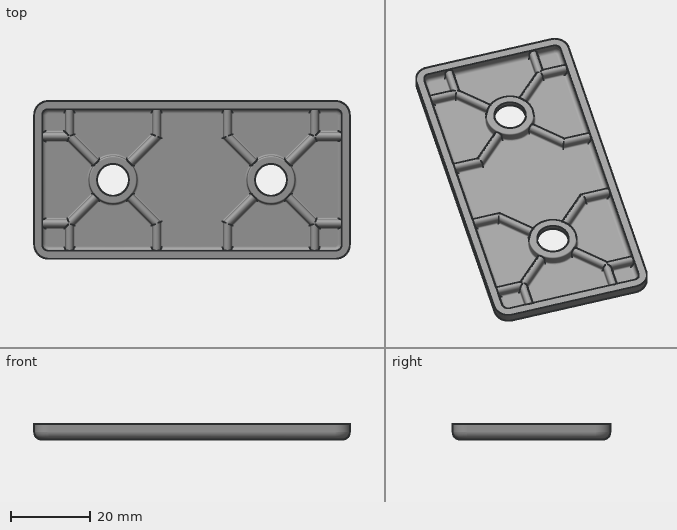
import cadquery as cq
import math

LENGTH = 80.0
WIDTH = 40.0
HEIGHT = 4.0
CORNER_RADIUS = 3.7
BOTTOM_EDGE_RADIUS = 2.0

WALL = 2.1
FLOOR = 1.8
RECESS_CORNER_RADIUS = 1.5
RECESS_EDGE_RADIUS = 1.0
DRAFT_ANGLE = 5.0

HOLE_SPACING = 40.0
HOLE_DIAMETER = 8.0
BOSS_TOP_DIAMETER = 12.0
BOSS_EDGE_RADIUS = 0.3
COUNTERSINK_DIAMETER = 12.0
COUNTERSINK_ANGLE = 90.0
COUNTERSINK_RIM = 0.6

RIB_FOOT_WIDTH = 2.2
RIB_TOP = 3.7
RIB_EDGE_RADIUS = 1.0
RIB_OFFSET = 11.0

FLARE_RADIUS = 0.4
ROOT_DEPTH = 0.8

draft_slope = math.tan(math.radians(DRAFT_ANGLE))
recess_length = LENGTH - 2 * WALL
recess_width = WIDTH - 2 * WALL
boss_centres = (-HOLE_SPACING / 2, HOLE_SPACING / 2)


def make_tray():
    """Rounded plate with a drafted recess in its top."""
    plate = (
        cq.Workplane("XY")
        .box(LENGTH, WIDTH, HEIGHT, centered=(True, True, False))
        .edges("|Z")
        .fillet(CORNER_RADIUS)
        .faces("<Z")
        .edges()
        .fillet(BOTTOM_EDGE_RADIUS)
    )
    rim = cq.Sketch().rect(recess_length, recess_width).vertices().fillet(RECESS_CORNER_RADIUS)
    recess = (
        cq.Workplane("XY", origin=(0, 0, HEIGHT))
        .placeSketch(rim)
        .extrude(FLOOR - HEIGHT, taper=DRAFT_ANGLE)
        .faces("<Z")
        .edges()
        .fillet(RECESS_EDGE_RADIUS)
    )
    return plate.cut(recess)


def round_corners(section, corners, radius):
    """Fillet the sketch corners that lie at the given points."""
    for corner in corners:
        nearest = cq.selectors.NearestToPointSelector((*corner, 0))
        section = section.vertices(nearest).fillet(radius).reset()
    return section


def make_boss(x):
    """Drafted round boss with a rounded top edge and a flare onto the floor."""
    top_radius = BOSS_TOP_DIAMETER / 2
    foot_radius = top_radius + (HEIGHT - FLOOR) * draft_slope
    root_radius = foot_radius + FLARE_RADIUS
    top_corner = (top_radius, HEIGHT)
    foot_corner = (foot_radius, FLOOR)
    outline = [
        (0, FLOOR - ROOT_DEPTH),
        (root_radius, FLOOR - ROOT_DEPTH),
        (root_radius, FLOOR),
        foot_corner,
        top_corner,
        (0, HEIGHT),
    ]
    section = cq.Sketch().polygon(outline + outline[:1])
    section = round_corners(section, [top_corner], BOSS_EDGE_RADIUS)
    section = round_corners(section, [foot_corner], FLARE_RADIUS)
    return cq.Workplane("XZ", origin=(x, 0, 0)).placeSketch(section).revolve()


def make_screw_hole(x):
    """Through hole widening downwards into a cone and a short straight rim."""
    hole_radius = HOLE_DIAMETER / 2
    rim_radius = COUNTERSINK_DIAMETER / 2
    cone_height = (rim_radius - hole_radius) / math.tan(math.radians(COUNTERSINK_ANGLE / 2))
    outline = [
        (0, 0),
        (rim_radius, 0),
        (rim_radius, COUNTERSINK_RIM),
        (hole_radius, COUNTERSINK_RIM + cone_height),
        (hole_radius, HEIGHT),
        (0, HEIGHT),
    ]
    return cq.Workplane("XZ", origin=(x, 0, 0)).polyline(outline).close().revolve()


def make_rib_section():
    """Rib cross-section, with its origin at floor level on the rib's centre line."""
    top = RIB_TOP - FLOOR
    foot = RIB_FOOT_WIDTH / 2
    crest = foot - top * draft_slope
    root = foot + FLARE_RADIUS
    top_corners = [(crest, top), (-crest, top)]
    foot_corners = [(foot, 0), (-foot, 0)]
    outline = [
        (-root, -ROOT_DEPTH),
        (root, -ROOT_DEPTH),
        (root, 0),
        foot_corners[0],
        *top_corners,
        foot_corners[1],
        (-root, 0),
    ]
    section = cq.Sketch().polygon(outline + outline[:1])
    section = round_corners(section, top_corners, RIB_EDGE_RADIUS)
    return round_corners(section, foot_corners, FLARE_RADIUS)


def make_rib(start, corner, end):
    """Rib swept at floor level from start to end, mitred at the corner."""
    along = (corner[0] - start[0], corner[1] - start[1], 0)
    across = (-along[1], along[0], 0)
    plane = cq.Plane(origin=(*start, FLOOR), xDir=across, normal=along)
    path = cq.Workplane("XY", origin=(0, 0, FLOOR)).polyline([start, corner, end])
    return cq.Workplane(plane).placeSketch(make_rib_section()).sweep(path, transition="right")


def make_rib_star(x):
    """Four ribs from a boss, bent to meet the long walls; the outer two also branch to the end wall."""
    star = cq.Workplane("XY")
    for x_side in (-1, 1):
        for y_side in (-1, 1):
            corner = (x + x_side * RIB_OFFSET, y_side * RIB_OFFSET)
            long_wall_end = (corner[0], y_side * recess_width / 2)
            star = star.add(make_rib(long_wall_end, corner, (x, 0)))
            if x_side * x > 0:
                end_wall_end = (x_side * recess_length / 2, corner[1])
                star = star.add(make_rib(end_wall_end, corner, (x, 0)))
    return star.combine()


result = make_tray()
for boss_x in boss_centres:
    result = result.union(make_boss(boss_x)).union(make_rib_star(boss_x)).cut(make_screw_hole(boss_x))